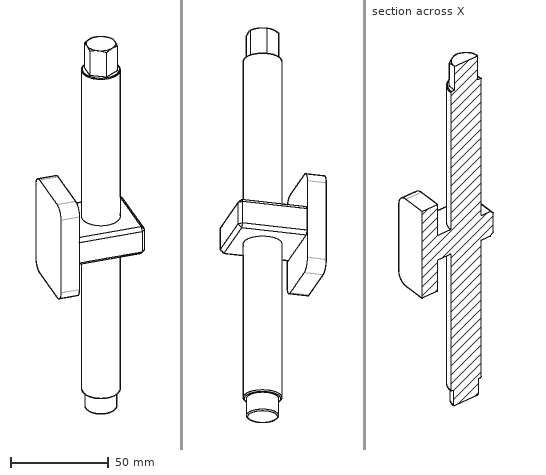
import cadquery as cq
import math

total_height = 215.0

rod_diameter = 20.0
rod_lower_chamfer = 0.6
rod_upper_chamfer = 0.5

spigot_diameter = 16.5
spigot_length = 10.0
spigot_chamfer = 0.6

hex_across_flats = 15.0
hex_length = 15.0
hex_tip_angle = 30.0

plate_width = 39.0
plate_height = 55.0
plate_thickness = 10.0
plate_corner_radius = 6.0
plate_front_y = -28.5
plate_center_z = 105.0
bar_width = 38.0
bar_height = 16.0
bar_chamfer = 2.0
depth = 46.5

rod_length = total_height - spigot_length - hex_length


def make_spindle_body():
    """Spigot and rod, with the rod chamfered at both ends and the spigot at its lower end."""
    spigot = cq.Workplane("XY").circle(spigot_diameter / 2).extrude(spigot_length)
    spigot = spigot.faces("<Z").chamfer(spigot_chamfer)
    rod = cq.Workplane("XY").workplane(offset=spigot_length).circle(rod_diameter / 2).extrude(rod_length)
    rod = rod.faces("<Z").chamfer(rod_lower_chamfer)
    rod = rod.faces(">Z").chamfer(rod_upper_chamfer)
    return spigot.union(rod)


def make_hex_drive():
    """Hexagon with corners along X, trimmed by a cone at the tip."""
    across_corners = hex_across_flats / math.cos(math.radians(30))
    base_z = total_height - hex_length
    prism = cq.Workplane("XY").workplane(offset=base_z).polygon(6, across_corners).extrude(hex_length)
    tip_radius = hex_across_flats / 2
    corner_radius = across_corners / 2
    tip_drop = (corner_radius - tip_radius) * math.tan(math.radians(hex_tip_angle))
    envelope = (
        cq.Workplane("XZ")
        .moveTo(0, base_z)
        .lineTo(corner_radius, base_z)
        .lineTo(corner_radius, total_height - tip_drop)
        .lineTo(tip_radius, total_height)
        .lineTo(0, total_height)
        .close()
        .revolve(360, (0, 0, 0), (0, 1, 0))
    )
    return prism.intersect(envelope)


def make_plate():
    """Upright plate with rounded corners."""
    plate = cq.Workplane("XY").box(plate_width, plate_thickness, plate_height)
    plate = plate.edges("|Y").fillet(plate_corner_radius)
    return plate.translate((0, plate_front_y + plate_thickness / 2, plate_center_z))


def make_bar():
    """Bar behind the plate, chamfered along its length and around its rear end."""
    bar_length = depth - plate_thickness
    bar = cq.Workplane("XY").box(bar_width, bar_length, bar_height)
    bar = bar.edges("|Y or >Y").chamfer(bar_chamfer)
    return bar.translate((0, plate_front_y + plate_thickness + bar_length / 2, plate_center_z))


result = make_spindle_body().union(make_hex_drive()).union(make_bar()).union(make_plate())